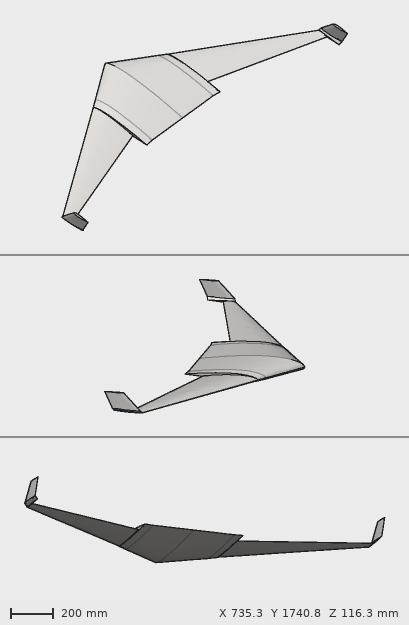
import cadquery as cq
import math


BODY_EDGE_Y = 203.0
STUB_END_Y = 244.0
WING_TIP_Y = 851.0
HALF_SPAN = 870.38

BODY_TAIL_X = 507.0
BODY_EDGE_NOSE_X = 135.0
STUB_NOSE_X = 162.0
STUB_TAIL_X = 512.0
WING_ROOT_TAIL_X = 422.0
WING_TIP_NOSE_X = 557.0
WING_TIP_TAIL_X = 618.0

BEND_TAIL_X = 693.0
WINGLET_ROOT_NOSE_X = 565.0
WINGLET_ROOT_TAIL_X = 698.0
WINGLET_ROOT_Z = 13.0
WINGLET_TIP_NOSE_X = 643.0
WINGLET_TIP_TAIL_X = 735.25
WINGLET_TIP_Z = 93.35

BODY_DEPTH = 62.0
BODY_EDGE_DEPTH = 45.0
STUB_DEPTH = 35.0
WING_ROOT_DEPTH = 26.0
WING_TIP_DEPTH = 9.0
WINGLET_DEPTH = 12.0
WINGLET_Y = HALF_SPAN - WINGLET_DEPTH / 2

CAMBER = 0.0165
CAMBER_X = 0.35
PROFILE_STEPS = 14


def half_thickness(x):
    """Half thickness of a unit-depth NACA four-digit section with a blunt tail."""
    return 5 * (0.2969 * math.sqrt(x) - 0.1260 * x - 0.3516 * x**2 + 0.2843 * x**3 - 0.1015 * x**4)


def camber_line(x, camber):
    """Height of the two-parabola mean line above the chord."""
    if x < CAMBER_X:
        return camber * (2 * CAMBER_X * x - x**2) / CAMBER_X**2
    return camber * (1 - 2 * CAMBER_X + 2 * CAMBER_X * x - x**2) / (1 - CAMBER_X) ** 2


def surface(nose_x, tail_x, depth, camber, side):
    """Points (x, height) along one face of an airfoil, from nose to tail."""
    chord = tail_x - nose_x
    points = []
    for step in range(PROFILE_STEPS + 1):
        x = (1 - math.cos(math.pi * step / PROFILE_STEPS)) / 2
        height = chord * camber_line(x, camber) + side * depth * half_thickness(x)
        points.append((nose_x + chord * x, height))
    return points


def section(nose_x, tail_x, depth, place, camber=0.0):
    """Closed airfoil wire; place maps (x, height) to a point in space."""
    upper = [cq.Vector(*place(x, h)) for x, h in surface(nose_x, tail_x, depth, camber, 1)]
    lower = [cq.Vector(*place(x, h)) for x, h in surface(nose_x, tail_x, depth, camber, -1)]
    edges = [
        cq.Edge.makeSpline(upper),
        cq.Edge.makeLine(upper[-1], lower[-1]),
        cq.Edge.makeSpline(lower[::-1]),
    ]
    return cq.Wire.assembleEdges(edges)


def rib(y, nose_x, tail_x, depth, camber=CAMBER):
    """Upright section facing along the span."""
    return section(nose_x, tail_x, depth, lambda x, h: (x, y, h), camber)


def winglet_rib(z, nose_x, tail_x):
    """Level section of the winglet, its upper face turned inboard."""
    return section(nose_x, tail_x, WINGLET_DEPTH, lambda x, h: (x, WINGLET_Y - h, z))


def panel(inner, outer):
    """Straight-ruled solid between two sections."""
    return cq.Workplane(cq.Solid.makeLoft([inner, outer], True))


def center_body():
    middle = rib(0, 0, BODY_TAIL_X, BODY_DEPTH)
    edge = rib(BODY_EDGE_Y, BODY_EDGE_NOSE_X, BODY_TAIL_X, BODY_EDGE_DEPTH)
    return panel(middle, edge)


def body_stub():
    edge = rib(BODY_EDGE_Y, BODY_EDGE_NOSE_X, BODY_TAIL_X, BODY_EDGE_DEPTH)
    end = rib(STUB_END_Y, STUB_NOSE_X, STUB_TAIL_X, STUB_DEPTH)
    return panel(edge, end)


def outer_wing():
    root = rib(STUB_END_Y, STUB_NOSE_X, WING_ROOT_TAIL_X, WING_ROOT_DEPTH)
    tip = rib(WING_TIP_Y, WING_TIP_NOSE_X, WING_TIP_TAIL_X, WING_TIP_DEPTH)
    return panel(root, tip)


def tip_bend():
    wing_side = rib(WING_TIP_Y, WING_TIP_NOSE_X, BEND_TAIL_X, WING_TIP_DEPTH, 0.0)
    winglet_side = winglet_rib(WINGLET_ROOT_Z, WINGLET_ROOT_NOSE_X, WINGLET_ROOT_TAIL_X)
    return panel(wing_side, winglet_side)


def winglet():
    root = winglet_rib(WINGLET_ROOT_Z, WINGLET_ROOT_NOSE_X, WINGLET_ROOT_TAIL_X)
    tip = winglet_rib(WINGLET_TIP_Z, WINGLET_TIP_NOSE_X, WINGLET_TIP_TAIL_X)
    return panel(root, tip)


half = center_body().union(body_stub()).union(outer_wing()).union(tip_bend()).union(winglet())
result = half.union(half.mirror("XZ"))